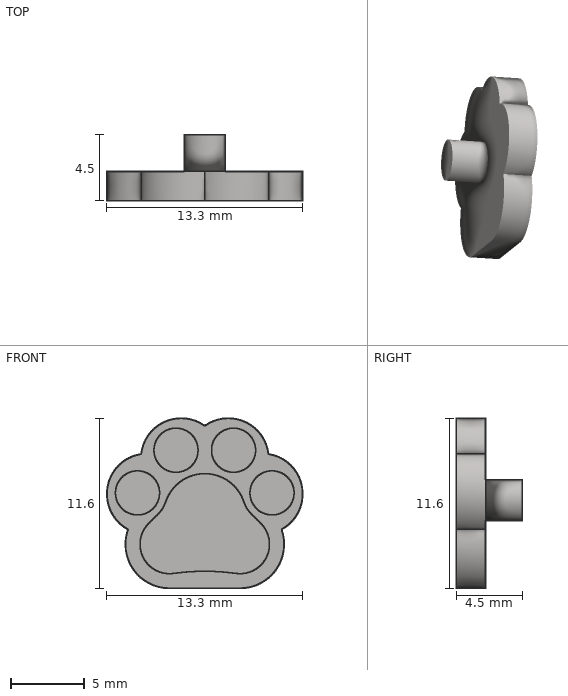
import cadquery as cq
import math


plate_thickness = 2.0
inlay_depth = plate_thickness / 2
total_depth = 4.5
stem_length = total_depth - plate_thickness

stem_diameter = 2.8
stem_height = 6.0

toe_radius = 3.0 / 2
outer_toe = (4.57, 6.49)
inner_toe = (1.955, 9.39)

dome_center = (0.0, 5.0)
dome_radius = 2.8
pad_lobe_radius = 2.0
bottom_curve_radius = 14.7

rim_width = 1.0
plate_lobe_radius = pad_lobe_radius + rim_width
lobe_center = (2.4, plate_lobe_radius)
scallop_radius = 2.75
outer_scallop = (3.91, 6.42)
inner_scallop = (1.60, 8.82)


def flip(point):
    """Mirror a profile point about X = 0."""
    return (-point[0], point[1])


def distance(start, end):
    return math.hypot(end[0] - start[0], end[1] - start[1])


def heading(start, end):
    """Angle of the direction from one point to another."""
    return math.atan2(end[1] - start[1], end[0] - start[0])


def on_circle(center, radius, angle):
    return (center[0] + radius * math.cos(angle), center[1] + radius * math.sin(angle))


def right_crossing(lower, lower_radius, upper, upper_radius):
    """Crossing of two circles on the right of the line from the lower to the upper center."""
    gap = distance(lower, upper)
    cosine = (lower_radius**2 + gap**2 - upper_radius**2) / (2 * lower_radius * gap)
    return on_circle(lower, lower_radius, heading(lower, upper) - math.acos(cosine))


def arc_to(sketch, start, end, center, radius):
    """Add the shorter arc from start to end around a center."""
    chord_middle = ((start[0] + end[0]) / 2, (start[1] + end[1]) / 2)
    middle = on_circle(center, radius, heading(center, chord_middle))
    return sketch.threePointArc(middle, end)


def plate_outline():
    bottom = (lobe_center[0], 0.0)
    waist = right_crossing(lobe_center, plate_lobe_radius, outer_scallop, scallop_radius)
    shoulder = right_crossing(outer_scallop, scallop_radius, inner_scallop, scallop_radius)
    top_notch = (0.0, inner_scallop[1] + math.sqrt(scallop_radius**2 - inner_scallop[0] ** 2))

    sketch = cq.Workplane("XZ").moveTo(*flip(bottom)).lineTo(*bottom)
    sketch = arc_to(sketch, bottom, waist, lobe_center, plate_lobe_radius)
    sketch = arc_to(sketch, waist, shoulder, outer_scallop, scallop_radius)
    sketch = arc_to(sketch, shoulder, top_notch, inner_scallop, scallop_radius)
    sketch = arc_to(sketch, top_notch, flip(shoulder), flip(inner_scallop), scallop_radius)
    sketch = arc_to(sketch, flip(shoulder), flip(waist), flip(outer_scallop), scallop_radius)
    sketch = arc_to(sketch, flip(waist), flip(bottom), flip(lobe_center), plate_lobe_radius)
    return sketch.close()


def main_pad_outline():
    neck_radius = distance(dome_center, outer_toe) - dome_radius
    dome_end = on_circle(dome_center, dome_radius, heading(dome_center, outer_toe))

    lobe_to_toe = distance(lobe_center, outer_toe)
    tangent_turn = math.acos((pad_lobe_radius + neck_radius) / lobe_to_toe)
    flank_angle = heading(lobe_center, outer_toe) - tangent_turn
    flank_top = on_circle(outer_toe, neck_radius, flank_angle + math.pi)
    flank_bottom = on_circle(lobe_center, pad_lobe_radius, flank_angle)

    bottom_drop = math.sqrt((bottom_curve_radius + pad_lobe_radius) ** 2 - lobe_center[0] ** 2)
    bottom_center = (0.0, lobe_center[1] - bottom_drop)
    lobe_end = on_circle(lobe_center, pad_lobe_radius, heading(lobe_center, bottom_center))

    sketch = cq.Workplane("XZ").moveTo(*flip(lobe_end))
    sketch = arc_to(sketch, flip(lobe_end), lobe_end, bottom_center, bottom_curve_radius)
    sketch = arc_to(sketch, lobe_end, flank_bottom, lobe_center, pad_lobe_radius)
    sketch = sketch.lineTo(*flank_top)
    sketch = arc_to(sketch, flank_top, dome_end, outer_toe, neck_radius)
    sketch = arc_to(sketch, dome_end, flip(dome_end), dome_center, dome_radius)
    sketch = arc_to(sketch, flip(dome_end), flip(flank_top), flip(outer_toe), neck_radius)
    sketch = sketch.lineTo(*flip(flank_bottom))
    sketch = arc_to(sketch, flip(flank_bottom), flip(lobe_end), flip(lobe_center), pad_lobe_radius)
    return sketch.close()


def make_main_pad():
    return main_pad_outline().extrude(-inlay_depth)


def make_toe_pad(center):
    return cq.Workplane("XZ").center(*center).circle(toe_radius).extrude(-inlay_depth)


def make_base(pads):
    """Plate and stem in one piece, with a recess for each pad."""
    plate = plate_outline().extrude(-plate_thickness)
    stem = (
        cq.Workplane("XZ", origin=(0, plate_thickness, stem_height))
        .circle(stem_diameter / 2)
        .extrude(-stem_length)
    )
    base = plate.union(stem)
    for pad in pads:
        base = base.cut(pad)
    return base.solids()


main_pad = make_main_pad()
toe_centers = [flip(outer_toe), flip(inner_toe), inner_toe, outer_toe]
toe_pads = [make_toe_pad(center) for center in toe_centers]
base = make_base([main_pad, *toe_pads])

result = cq.Compound.makeCompound([base.val(), main_pad.val(), *[pad.val() for pad in toe_pads]])